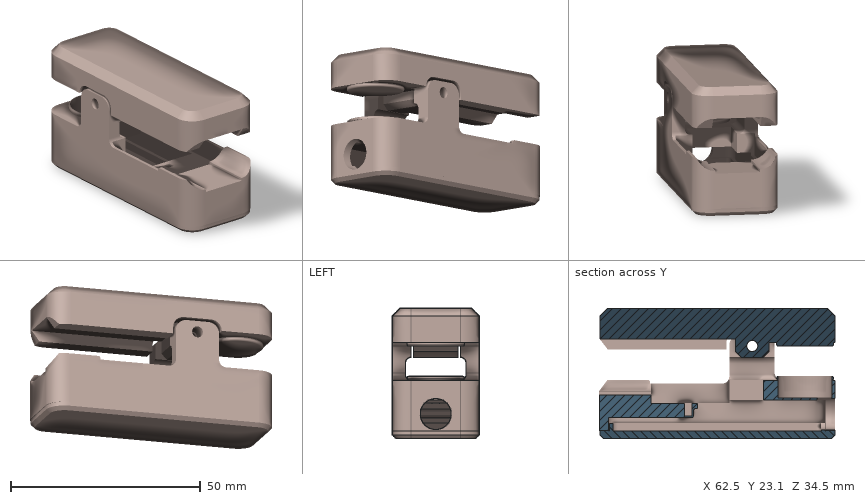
import cadquery as cq

BASE_LENGTH = 62.5
COVER_LENGTH = 62.3
WIDTH = 23.05
CORNER_RADIUS = 5.0
TOTAL_HEIGHT = 34.5

PLATE_TOP = 2.05
BASE_TOP = 15.4
WALL_TOP = 14.5
ARM_NOSE_BOTTOM = 25.35
ARM_TAIL_BOTTOM = 23.5

HINGE_X = 22.0
HINGE_Z = 24.5
TAB_WIDTH = 12.0
TAB_TOP = 27.5
TAB_CORNER = 3.0
TAB_ROOT_FILLET = 1.9
TAB_INNER_Y = 6.5
TAB_THIN_Y = 8.0
TAB_STEP_Z = 21.5
TAB_INNER_FILLET = TAB_THIN_Y - TAB_INNER_Y
TAB_HOLE_DIAMETER = 3.0
ARM_HOLE_DIAMETER = 2.8
HINGE_GAP = 0.75

WELL_X = 8.0
WELL_DIAMETER = 14.1
WELL_FLOOR = 10.9
RIM_DIAMETER = 15.2
RIM_NECK_DIAMETER = 14.85
RIM_HEIGHT = 1.05
RIM_NECK_HEIGHT = 0.3
RIM_ROUND = 0.5
BOSS_HEIGHT = 0.95

SIDE_WALL = 0.9
DECK_END_X = 19.05
SHELF_X = 36.4
SHELF_TOP = 9.4
BLOCK_X = 48.65
BLOCK_TOP = 11.55
BLOCK_HALF_WIDTH = 6.0
TROUGH_RADIUS = 5.0
TROUGH_BOTTOM = 12.3
WALL_STEP_X = 48.9
WALL_STEP_ROUND = 0.6
SHELF_HOLE_DIAMETER = 1.5
SHELF_HOLE_X = 40.55
SHELF_HOLE_Y = -4.4
SHELF_WINDOW_END_X = 39.8
SHELF_WINDOW_SIDE = 1.9

END_WALL = 2.5
CAVITY_WIDTH = 19.35
CAVITY_RADIUS = 2.5
CAVITY_CEILING = 10.2
SHELF_UNDERSIDE = 7.9
STEP_X = 37.5
STEP_UNDERSIDE = 5.5
STEP_ROUND = 0.55
PORT_DIAMETER = 8.2
PORT_Z = 6.5

LIP_GAP = 0.25
LIP_WALL = 1.0
LIP_TOP = 4.1

ARM_TOP_CHAMFER = 2.05
PLATE_CHAMFER = 1.0
ARM_END_CHAMFER = (2.2, 2.8)
BASE_END_CHAMFER = (2.25, 3.0)

SLOT_TOP = TAB_TOP + HINGE_GAP
TONGUE_HALF_WIDTH = 5.95
TONGUE_LENGTH = 9.0
TONGUE_BOTTOM = 21.4
TONGUE_CHAMFER = 1.55
CHANNEL_CEILING = 26.3


def box(x0, x1, y0, y1, z0, z1):
    """Box given by its limits along each axis."""
    return cq.Workplane("XY").box(x1 - x0, y1 - y0, z1 - z0, centered=False).translate((x0, y0, z0))


def centered_box(x0, x1, half_width, z0, z1):
    """Box placed symmetrically about the plane Y = 0."""
    return box(x0, x1, -half_width, half_width, z0, z1)


def rounded_block(x0, x1, width, radius, z0, z1):
    """Block with rounded vertical corners."""
    return centered_box(x0, x1, width / 2, z0, z1).edges("|Z").fillet(radius)


def upright_cylinder(x, y, diameter, z0, z1):
    return cq.Workplane("XY", origin=(x, y, z0)).circle(diameter / 2).extrude(z1 - z0)


def side_profile(points, width=WIDTH):
    """Polygon in X and Z, extruded symmetrically along Y."""
    return cq.Workplane("XZ").polyline(points).close().extrude(width / 2, both=True)


def hinge_hole(diameter):
    return cq.Workplane("XZ").center(HINGE_X, HINGE_Z).circle(diameter / 2).extrude(WIDTH / 2, both=True)


def end_port():
    """Cylinder along X for the round port through the end wall and the lip behind it."""
    depth = END_WALL + LIP_GAP + 2 * LIP_WALL
    return cq.Workplane("YZ").center(0, PORT_Z).circle(PORT_DIAMETER / 2).extrude(depth)


def end_chamfer_cutter(length, z, run, rise):
    """Triangle removed from the +X end; a negative rise puts it below level z."""
    return side_profile([(length - run, z), (length, z), (length, z + rise)])


def base_tabs():
    """Two hinge tabs, thick around the hinge hole and thinner below it."""
    left = HINGE_X - TAB_WIDTH / 2
    right = HINGE_X + TAB_WIDTH / 2
    r = TAB_ROOT_FILLET
    low = WALL_TOP - r
    tabs = (
        cq.Workplane("XZ")
        .moveTo(left - r, low)
        .lineTo(left - r, BASE_TOP)
        .radiusArc((left, BASE_TOP + r), -r)
        .lineTo(left, TAB_TOP - TAB_CORNER)
        .radiusArc((left + TAB_CORNER, TAB_TOP), TAB_CORNER)
        .lineTo(right - TAB_CORNER, TAB_TOP)
        .radiusArc((right, TAB_TOP - TAB_CORNER), TAB_CORNER)
        .lineTo(right, WALL_TOP + r)
        .radiusArc((right + r, WALL_TOP), -r)
        .lineTo(right + r, low)
        .close()
        .extrude(WIDTH / 2, both=True)
    )
    x0 = left - r
    x1 = right + r
    eye_gap = centered_box(x0, x1, TAB_INNER_Y, BASE_TOP, TAB_TOP)
    wide_gap = (
        centered_box(x0, x1, TAB_THIN_Y, BASE_TOP, TAB_STEP_Z)
        .edges("|X").fillet(TAB_INNER_FILLET)
    )
    return tabs.cut(eye_gap).cut(wide_gap).cut(hinge_hole(TAB_HOLE_DIAMETER))


def well_rim():
    """Raised rim around the well, necked at its foot and rounded at its top."""
    z_lip = BASE_TOP + RIM_NECK_HEIGHT
    neck = upright_cylinder(WELL_X, 0, RIM_NECK_DIAMETER, BASE_TOP, z_lip)
    lip = upright_cylinder(WELL_X, 0, RIM_DIAMETER, z_lip, BASE_TOP + RIM_HEIGHT)
    return neck.union(lip.faces(">Z").edges().fillet(RIM_ROUND))


def lowered_walls():
    """Cutter that lowers the side walls between the tabs and the rounded step."""
    x0 = HINGE_X + TAB_WIDTH / 2
    r = WALL_STEP_ROUND
    return (
        cq.Workplane("XZ")
        .moveTo(x0, WALL_TOP)
        .lineTo(WALL_STEP_X, WALL_TOP)
        .lineTo(WALL_STEP_X, BASE_TOP - r)
        .radiusArc((WALL_STEP_X + r, BASE_TOP), r)
        .lineTo(x0, BASE_TOP)
        .close()
        .extrude(WIDTH / 2, both=True)
    )


def end_trough():
    """Cutter for the +X end: a flat-bottomed slot between two concave flanks."""
    half = BLOCK_HALF_WIDTH
    slot = centered_box(BLOCK_X, BASE_LENGTH, half, BLOCK_TOP, BASE_TOP)
    for side in (-1, 1):
        axis_z = TROUGH_BOTTOM + TROUGH_RADIUS
        flank = (
            cq.Workplane("YZ", origin=(BLOCK_X, 0, 0))
            .center(side * half, axis_z)
            .circle(TROUGH_RADIUS)
            .extrude(BASE_LENGTH - BLOCK_X)
        )
        slot = slot.union(flank)
    return slot


def base_cavity():
    """Hollow below the deck; its ceiling steps down under the shelf."""
    hollow = rounded_block(
        END_WALL, BASE_LENGTH - END_WALL, CAVITY_WIDTH, CAVITY_RADIUS, PLATE_TOP, CAVITY_CEILING
    )
    r = STEP_ROUND
    ceiling = (
        cq.Workplane("XZ")
        .moveTo(SHELF_X, CAVITY_CEILING)
        .lineTo(SHELF_X, SHELF_UNDERSIDE)
        .lineTo(STEP_X - r, SHELF_UNDERSIDE)
        .radiusArc((STEP_X, SHELF_UNDERSIDE - r), r)
        .lineTo(STEP_X, STEP_UNDERSIDE + r)
        .radiusArc((STEP_X + r, STEP_UNDERSIDE), -r)
        .lineTo(BASE_LENGTH, STEP_UNDERSIDE)
        .lineTo(BASE_LENGTH, CAVITY_CEILING)
        .close()
        .extrude(WIDTH / 2, both=True)
    )
    return hollow.cut(ceiling)


def base_recess():
    """Opening from the deck behind the well to the raised block.

    The shelf floor holds a blind square window and a small through hole.
    """
    half = WIDTH / 2 - SIDE_WALL
    tab_end = HINGE_X + TAB_WIDTH / 2
    pit = centered_box(DECK_END_X, SHELF_X, BLOCK_HALF_WIDTH, SHELF_TOP, BASE_TOP)
    recess = centered_box(tab_end, BLOCK_X, half, SHELF_TOP, BASE_TOP)
    window_start = SHELF_WINDOW_END_X - SHELF_WINDOW_SIDE
    window = centered_box(
        window_start, SHELF_WINDOW_END_X, SHELF_WINDOW_SIDE / 2, STEP_UNDERSIDE + STEP_ROUND, SHELF_TOP
    )
    hole = upright_cylinder(SHELF_HOLE_X, SHELF_HOLE_Y, SHELF_HOLE_DIAMETER, STEP_UNDERSIDE, SHELF_TOP)
    return pit.union(recess).union(window).union(hole)


def make_base():
    base = rounded_block(0, BASE_LENGTH, WIDTH, CORNER_RADIUS, PLATE_TOP, BASE_TOP)
    run, drop = BASE_END_CHAMFER
    base = base.cut(end_chamfer_cutter(BASE_LENGTH, BASE_TOP, run, -drop))
    base = base.cut(lowered_walls()).union(base_tabs()).union(well_rim())
    base = base.cut(end_trough()).cut(base_recess()).cut(base_cavity())
    base = base.cut(upright_cylinder(WELL_X, 0, WELL_DIAMETER, WELL_FLOOR, BASE_TOP + RIM_HEIGHT))
    return base.cut(end_port())


def make_plate():
    """Bottom plate with a lip that fits inside the base cavity."""
    plate = rounded_block(0, COVER_LENGTH, WIDTH, CORNER_RADIUS, 0, PLATE_TOP)
    plate = plate.faces("<Z").edges().chamfer(PLATE_CHAMFER)
    x0 = END_WALL + LIP_GAP
    x1 = BASE_LENGTH - x0
    width = CAVITY_WIDTH - 2 * LIP_GAP
    radius = CAVITY_RADIUS - LIP_GAP
    inner = rounded_block(
        x0 + LIP_WALL, x1 - LIP_WALL, width - 2 * LIP_WALL, radius - LIP_WALL, PLATE_TOP, LIP_TOP
    )
    lip = rounded_block(x0, x1, width, radius, PLATE_TOP, LIP_TOP).cut(inner)
    return plate.union(lip).cut(end_port())


def hinge_slots():
    """Rounded notches in both sides of the arm, clearing the hinge tabs."""
    half_length = TAB_WIDTH / 2 + HINGE_GAP
    slot = (
        box(HINGE_X - half_length, HINGE_X + half_length, TONGUE_HALF_WIDTH, WIDTH / 2,
            ARM_TAIL_BOTTOM - TAB_CORNER, SLOT_TOP)
        .edges("|Y and >Z").fillet(TAB_CORNER)
    )
    return slot.union(slot.mirror("XZ"))


def hinge_tongue():
    x0 = HINGE_X - TONGUE_LENGTH / 2
    x1 = HINGE_X + TONGUE_LENGTH / 2
    tongue = centered_box(x0, x1, TONGUE_HALF_WIDTH, TONGUE_BOTTOM, SLOT_TOP)
    return tongue.edges("|Y and <Z").chamfer(TONGUE_CHAMFER)


def make_arm():
    arm = rounded_block(0, COVER_LENGTH, WIDTH, CORNER_RADIUS, ARM_TAIL_BOTTOM, TOTAL_HEIGHT)
    arm = arm.faces(">Z").edges().chamfer(ARM_TOP_CHAMFER)
    arm = arm.cut(end_chamfer_cutter(COVER_LENGTH, ARM_TAIL_BOTTOM, *ARM_END_CHAMFER))
    nose_clearance = centered_box(0, HINGE_X, WIDTH / 2, ARM_TAIL_BOTTOM, ARM_NOSE_BOTTOM)
    channel = centered_box(HINGE_X, COVER_LENGTH, TAB_INNER_Y, ARM_TAIL_BOTTOM, CHANNEL_CEILING)
    arm = arm.cut(nose_clearance).cut(channel).cut(hinge_slots())
    boss_bottom = ARM_NOSE_BOTTOM - BOSS_HEIGHT
    boss = upright_cylinder(WELL_X, 0, RIM_DIAMETER, boss_bottom, ARM_NOSE_BOTTOM)
    boss = boss.faces("<Z").edges().fillet(RIM_ROUND)
    return arm.union(boss).union(hinge_tongue()).cut(hinge_hole(ARM_HOLE_DIAMETER))


base = make_base()
plate = make_plate()
arm = make_arm()

result = cq.Compound.makeCompound([base.solids().val(), plate.solids().val(), arm.solids().val()])